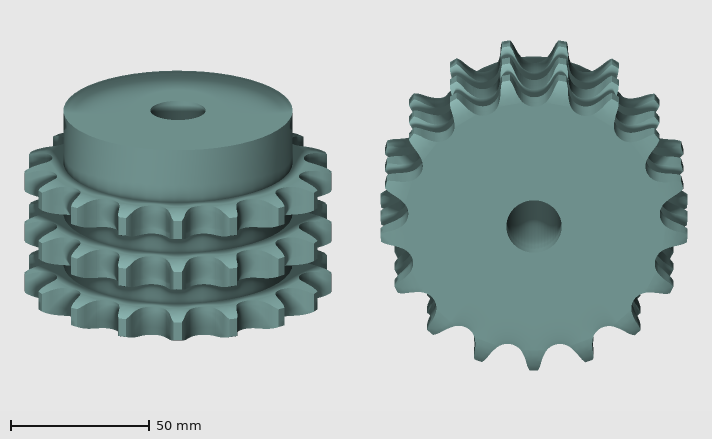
import cadquery as cq
import math


CHAIN_PITCH = 19.0
ROLLER_DIAMETER = 12.0

TOOTH_COUNT = 17
TOOTH_ANGLE = 360 / TOOTH_COUNT
PITCH_RADIUS = CHAIN_PITCH / 2 / math.sin(math.pi / TOOTH_COUNT)
OUTER_RADIUS = 55.7
SEAT_RADIUS = 0.5025 * ROLLER_DIAMETER
SEAT_HALF_ANGLE = 55 - 60 / TOOTH_COUNT
FLANK_RADIUS = 1.3025 * ROLLER_DIAMETER
FLANK_ANGLE = 18 - 56 / TOOTH_COUNT
TIP_OFFSET_ANGLE = 17 - 64 / TOOTH_COUNT
STRAIGHT_LENGTH = ROLLER_DIAMETER * (
    1.4 * math.sin(math.radians(TIP_OFFSET_ANGLE)) - 0.8 * math.sin(math.radians(FLANK_ANGLE))
)
TIP_RADIUS = ROLLER_DIAMETER * (
    0.8 * math.cos(math.radians(FLANK_ANGLE)) + 1.4 * math.cos(math.radians(TIP_OFFSET_ANGLE)) - 1.3025
)
TIP_SWEEP = 30.0

STRAND_COUNT = 3
DISC_THICKNESS = 10.8
WIDTH_OVER_STRANDS = 49.8
STRAND_SPACING = (WIDTH_OVER_STRANDS - DISC_THICKNESS) / (STRAND_COUNT - 1)
SIDE_ROUND_RADIUS = CHAIN_PITCH
SIDE_ROUND_START = 47.3
HUB_DIAMETER = 83.0
HUB_HEIGHT = 70.0
BORE_DIAMETER = 20.0

CUT_CLEARANCE = 2.2


def point_on_circle(center, radius, degrees):
    """Point at an angle measured from the +X direction."""
    angle = math.radians(degrees)
    return (center[0] + radius * math.cos(angle), center[1] + radius * math.sin(angle))


def mirrored(point):
    """Point on the other side of the gap's centre line."""
    return (-point[0], point[1])


def blank_disc():
    """Round disc whose two outer edges are rounded off, on the XY plane."""
    round_width = OUTER_RADIUS - SIDE_ROUND_START
    round_drop = SIDE_ROUND_RADIUS - math.sqrt(SIDE_ROUND_RADIUS**2 - round_width**2)
    half_sweep = math.degrees(math.asin(round_width / SIDE_ROUND_RADIUS)) / 2
    lower_center = (SIDE_ROUND_START, SIDE_ROUND_RADIUS)
    upper_center = (SIDE_ROUND_START, DISC_THICKNESS - SIDE_ROUND_RADIUS)
    return (
        cq.Workplane("XZ")
        .lineTo(SIDE_ROUND_START, 0)
        .threePointArc(
            point_on_circle(lower_center, SIDE_ROUND_RADIUS, -90 + half_sweep),
            (OUTER_RADIUS, round_drop),
        )
        .lineTo(OUTER_RADIUS, DISC_THICKNESS - round_drop)
        .threePointArc(
            point_on_circle(upper_center, SIDE_ROUND_RADIUS, 90 - half_sweep),
            (SIDE_ROUND_START, DISC_THICKNESS),
        )
        .lineTo(0, DISC_THICKNESS)
        .close()
        .revolve(360, (0, 0), (0, 1))
    )


def tooth_gap():
    """Cutter for the gap centred on +Y, open past the outer radius."""
    seat_center = (0, PITCH_RADIUS)
    root = (0, PITCH_RADIUS - SEAT_RADIUS)
    seat_end_angle = -90 + SEAT_HALF_ANGLE
    seat_end = point_on_circle(seat_center, SEAT_RADIUS, seat_end_angle)

    flank_center = point_on_circle(seat_center, SEAT_RADIUS - FLANK_RADIUS, seat_end_angle)
    flank_end_angle = seat_end_angle + FLANK_ANGLE
    flank_middle = point_on_circle(flank_center, FLANK_RADIUS, seat_end_angle + FLANK_ANGLE / 2)
    flank_end = point_on_circle(flank_center, FLANK_RADIUS, flank_end_angle)

    straight_end = point_on_circle(flank_end, STRAIGHT_LENGTH, flank_end_angle + 90)
    tip_center = point_on_circle(straight_end, TIP_RADIUS, flank_end_angle)
    tip_start_angle = flank_end_angle + 180
    tip_middle = point_on_circle(tip_center, TIP_RADIUS, tip_start_angle - TIP_SWEEP / 2)
    tip = point_on_circle(tip_center, TIP_RADIUS, tip_start_angle - TIP_SWEEP)

    return (
        cq.Workplane("XY", origin=(0, 0, -CUT_CLEARANCE))
        .moveTo(*tip)
        .threePointArc(tip_middle, straight_end)
        .lineTo(*flank_end)
        .threePointArc(flank_middle, seat_end)
        .threePointArc(root, mirrored(seat_end))
        .threePointArc(mirrored(flank_middle), mirrored(flank_end))
        .lineTo(*mirrored(straight_end))
        .threePointArc(mirrored(tip_middle), mirrored(tip))
        .close()
        .extrude(DISC_THICKNESS + 2 * CUT_CLEARANCE)
    )


def toothed_disc():
    """One sprocket disc with a gap on +Y and a tooth on -Y."""
    disc = blank_disc()
    gap = tooth_gap()
    for index in range(TOOTH_COUNT):
        disc = disc.cut(gap.rotate((0, 0, 0), (0, 0, 1), index * TOOTH_ANGLE))
    return disc


result = cq.Workplane("XY").circle(HUB_DIAMETER / 2).extrude(HUB_HEIGHT)
disc = toothed_disc()
for strand in range(STRAND_COUNT):
    result = result.union(disc.translate((0, 0, strand * STRAND_SPACING)))

bore = cq.Workplane("XY").circle(BORE_DIAMETER / 2).extrude(HUB_HEIGHT)
result = result.cut(bore)